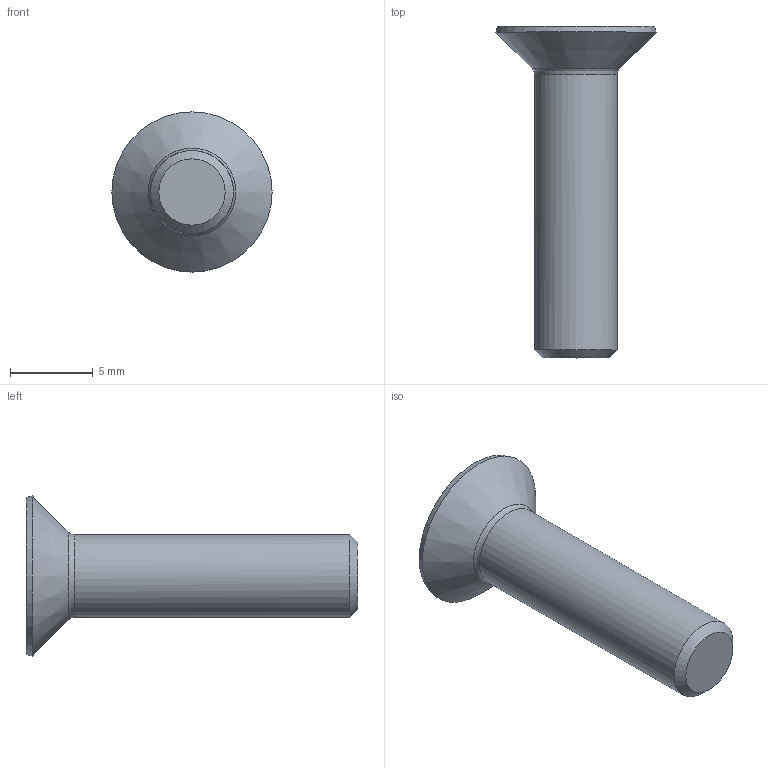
import cadquery as cq
import math

TOTAL_LENGTH = 20.0
SHANK_DIAMETER = 5.0
HEAD_DIAMETER = 9.66
RIM_HEIGHT = 0.36
RIM_TAPER_DEGREES = 15.0
CONE_HALF_ANGLE_DEGREES = 45.0
NECK_FILLET_RADIUS = 0.5
TIP_CHAMFER = 0.5

shank_radius = SHANK_DIAMETER / 2
head_radius = HEAD_DIAMETER / 2
face_radius = head_radius - RIM_HEIGHT * math.tan(math.radians(RIM_TAPER_DEGREES))
cone_height = (head_radius - shank_radius) / math.tan(math.radians(CONE_HALF_ANGLE_DEGREES))
neck_y = -(RIM_HEIGHT + cone_height)


def make_screw_body():
    """Revolve the half profile of head and shank about the Y axis."""
    half_profile = [
        (0, 0),
        (face_radius, 0),
        (head_radius, -RIM_HEIGHT),
        (shank_radius, neck_y),
        (shank_radius, -TOTAL_LENGTH),
        (0, -TOTAL_LENGTH),
    ]
    return cq.Workplane("XY").polyline(half_profile).close().revolve(360, (0, 0), (0, 1))


def round_neck(body):
    """Fillet the inside corner where the head cone meets the shank."""
    neck_edge = body.edges("%CIRCLE").edges(cq.selectors.NearestToPointSelector((0, neck_y, 0)))
    return neck_edge.fillet(NECK_FILLET_RADIUS)


def chamfer_tip(body):
    """Bevel the free end of the shank."""
    return body.faces("<Y").edges().chamfer(TIP_CHAMFER)


result = chamfer_tip(round_neck(make_screw_body()))